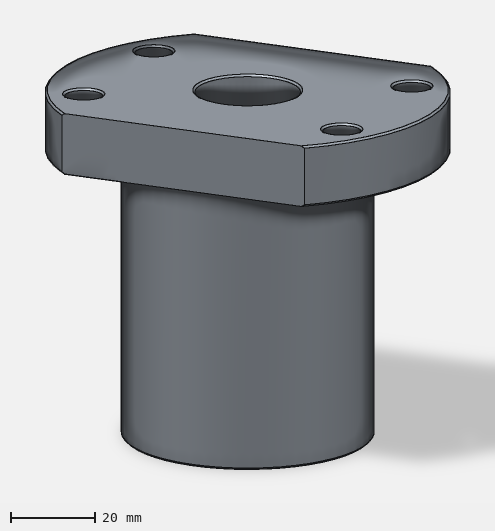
import cadquery as cq
import math

flange_diameter = 96.0
flange_width = 72.0
flange_thickness = 15.0

body_diameter = 60.0
total_height = 85.0

bore_diameter = 25.0

hole_diameter = 9.0
hole_circle_diameter = 78.0
hole_angle = 30.0

edge_chamfer = 0.5


def make_flange():
    """Disc with chamfered rims, trimmed by two flats that stay sharp."""
    disc = (
        cq.Workplane("XY")
        .circle(flange_diameter / 2)
        .extrude(-flange_thickness)
        .edges("%CIRCLE")
        .chamfer(edge_chamfer)
    )
    trim = cq.Workplane("XY").rect(flange_diameter, flange_width).extrude(-flange_thickness)
    return disc.intersect(trim)


def make_body():
    """Cylinder with a chamfered lower rim."""
    return (
        cq.Workplane("XY")
        .circle(body_diameter / 2)
        .extrude(-total_height)
        .faces("<Z")
        .edges()
        .chamfer(edge_chamfer)
    )


def hole_cutter(diameter, depth):
    """Round cutter from the top face down, chamfered at its upper mouth."""
    radius = diameter / 2
    mouth_radius = radius + edge_chamfer
    return (
        cq.Workplane("XZ")
        .moveTo(0, 0)
        .lineTo(mouth_radius, 0)
        .lineTo(radius, -edge_chamfer)
        .lineTo(radius, -depth)
        .lineTo(0, -depth)
        .close()
        .revolve(360, (0, 0, 0), (0, 1, 0))
    )


def mounting_hole_centers():
    """Hole centres, mirrored about both the X and Y axes."""
    x = hole_circle_diameter / 2 * math.cos(math.radians(hole_angle))
    y = hole_circle_diameter / 2 * math.sin(math.radians(hole_angle))
    return [(x, y), (-x, y), (-x, -y), (x, -y)]


result = make_flange().union(make_body())
result = result.cut(hole_cutter(bore_diameter, total_height))
for x, y in mounting_hole_centers():
    result = result.cut(hole_cutter(hole_diameter, flange_thickness).translate((x, y, 0)))